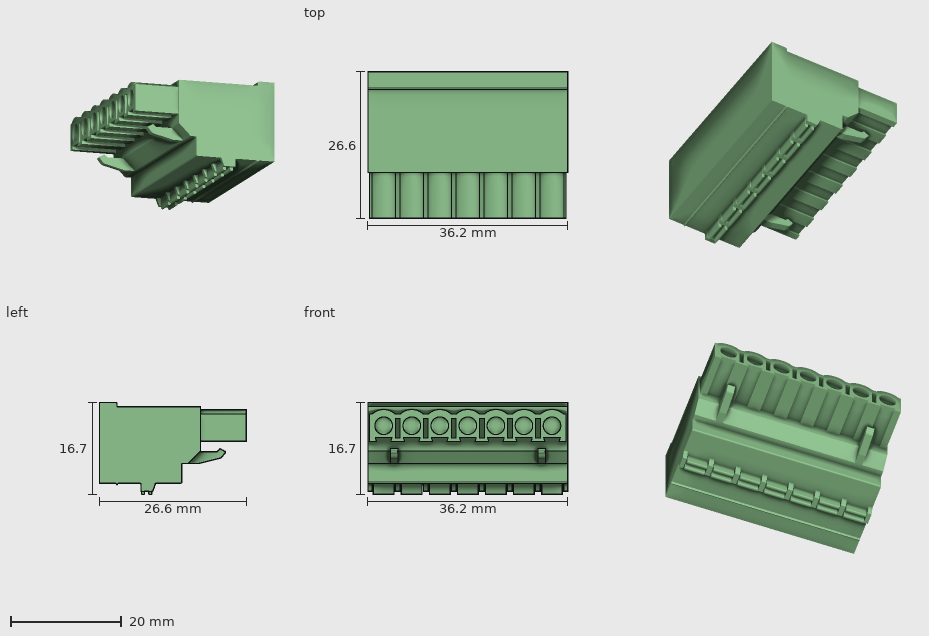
import cadquery as cq
import math

pole_count = 7
pole_span = 30.45
pitch = pole_span / (pole_count - 1)

width = 36.18
housing_depth = 18.3
ridge_depth = 3.22
ridge_radius = 0.33
shelf_z = -0.8
slope_top_z = -8.83
slope_bottom_z = -11.07
lower_depth = 14.95
bottom_z = -14.65
bottom_radius = 0.3
bead_y = -3.2
bead_height = 0.3
bead_half_width = 0.25

plug_width = 35.6
front_y = -26.6
shoulder_z = -2.15
plug_bottom_z = -7.05
pole_axis_z = -4.25
crown_radius = 3.15
crown_top_z = -1.3
bore_radius = 1.6
bore_depth = 1.1
slot_width = 0.87
slot_top_z = -2.95
slot_bottom_z = -6.45
groove_top_z = -6.4
groove_top_width = 3.0
groove_mouth_width = 2.6

latch_width = 1.37
latch_offset = 13.35
latch_top_z = -8.9
latch_hook_start_y = -21.3
latch_hook_peak = (-21.85, -8.4)
latch_nose = (-22.95, -8.97)
latch_nose_radius = 0.2
latch_heel_y = -18.05
latch_bend = (-22.0, -10.1)
latch_bend_radius = 0.72

key_width = 0.9
key_back_y = -7.53
key_front_y = -10.2
key_tip_y = -9.65
key_bottom_z = -16.15
key_root_radius = 0.2
key_tip_radius = 0.15
foot_width = 3.8
foot_bottom_z = -16.7
foot_thickness = 0.58
foot_back_y = -7.6
foot_front_y = -9.5
foot_radius = 0.25

pole_xs = [(i - (pole_count - 1) / 2) * pitch for i in range(pole_count)]
gap_xs = [(i - pole_count / 2) * pitch for i in range(pole_count + 1)]


def extrude_across(points, length, center_x=0.0):
    """Extrude a (Y, Z) outline along X, centred on center_x."""
    profile = cq.Workplane("YZ", origin=(center_x, 0, 0)).polyline(points).close()
    return profile.extrude(length / 2, both=True)


def box_between(center_x, size_x, y_range, z_range):
    """Box centred on center_x that fills the given Y and Z ranges."""
    (y0, y1), (z0, z1) = y_range, z_range
    return extrude_across([(y0, z0), (y1, z0), (y1, z1), (y0, z1)], size_x, center_x)


def edge_along_x(y, z):
    """Selector for an edge parallel to X that passes through (y, z)."""
    reach = 0.018
    return cq.selectors.BoxSelector((-width, y - reach, z - reach), (width, y + reach, z + reach))


def make_housing():
    """Stepped housing with a top ridge, a 45 degree underside slope and a bead below."""
    slope_bottom_y = -housing_depth + (slope_top_z - slope_bottom_z)
    outline = [
        (0, 0),
        (-ridge_depth, 0),
        (-ridge_depth, shelf_z),
        (-housing_depth, shelf_z),
        (-housing_depth, slope_top_z),
        (slope_bottom_y, slope_bottom_z),
        (-lower_depth, slope_bottom_z),
        (-lower_depth, bottom_z),
        (0, bottom_z),
    ]
    body = extrude_across(outline, width)
    body = body.edges(edge_along_x(-ridge_depth, 0)).fillet(ridge_radius)
    body = body.edges(edge_along_x(-lower_depth, bottom_z)).fillet(bottom_radius)
    bead = extrude_across(
        [
            (bead_y - bead_half_width, bottom_z),
            (bead_y, bottom_z - bead_height),
            (bead_y + bead_half_width, bottom_z),
        ],
        width,
    )
    return body.union(bead)


def make_plug():
    """Row of crowned poles with bores, slots between them and dovetail grooves below."""
    y_range = (front_y, -housing_depth)
    length = y_range[1] - y_range[0]
    front = cq.Workplane("XZ", origin=(0, front_y, 0))
    bores_at = [(x, pole_axis_z) for x in pole_xs]

    plug = box_between(0, plug_width, y_range, (plug_bottom_z, shoulder_z))
    crown_height = crown_top_z - shoulder_z
    half_chord = math.sqrt(crown_radius**2 - (crown_radius - crown_height) ** 2)
    for x in pole_xs:
        crown = (
            front.moveTo(x - half_chord, shoulder_z)
            .threePointArc((x, crown_top_z), (x + half_chord, shoulder_z))
            .close()
            .extrude(-length)
        )
        plug = plug.union(crown)
    plug = plug.cut(front.pushPoints(bores_at).circle(bore_radius).extrude(-bore_depth))

    for x in gap_xs[1:-1]:
        plug = plug.cut(box_between(x, slot_width, y_range, (slot_bottom_z, slot_top_z)))
    for x in pole_xs:
        groove = (
            front.moveTo(x - groove_top_width / 2, groove_top_z)
            .lineTo(x + groove_top_width / 2, groove_top_z)
            .lineTo(x + groove_mouth_width / 2, plug_bottom_z)
            .lineTo(x - groove_mouth_width / 2, plug_bottom_z)
            .close()
            .extrude(-length)
        )
        plug = plug.cut(groove)
    return plug


def make_latch(center_x):
    """Hooked arm that leaves the sloped underside of the housing."""
    outline = [
        (-lower_depth, slope_bottom_z),
        (latch_heel_y, slope_bottom_z),
        latch_bend,
        latch_nose,
        latch_hook_peak,
        (latch_hook_start_y, latch_top_z),
        (-housing_depth, latch_top_z),
    ]
    latch = extrude_across(outline, latch_width, center_x)
    latch = latch.edges(edge_along_x(*latch_nose)).fillet(latch_nose_radius)
    return latch.edges(edge_along_x(*latch_bend)).fillet(latch_bend_radius)


def make_key(center_x):
    """Key with a sloping front and a rounded tip."""
    outline = [
        (key_back_y, bottom_z),
        (key_back_y, key_bottom_z),
        (key_tip_y, key_bottom_z),
        (key_front_y, bottom_z),
    ]
    key = extrude_across(outline, key_width, center_x)
    return key.edges(edge_along_x(key_tip_y, key_bottom_z)).fillet(key_tip_radius)


def make_foot(center_x, y_range):
    """Plate below a pole with both lower edges rounded."""
    foot = box_between(center_x, foot_width, y_range, (foot_bottom_z, bottom_z))
    for y in y_range:
        foot = foot.edges(edge_along_x(y, foot_bottom_z)).fillet(foot_radius)
    return foot


result = make_housing().union(make_plug())

for side in (-1, 1):
    result = result.union(make_latch(side * latch_offset))

flush_limits = box_between(0, width, (front_y, 0), (foot_bottom_z, 0))
for x in gap_xs:
    result = result.union(make_key(x).intersect(flush_limits))

for y in (key_back_y, key_front_y):
    result = result.edges(edge_along_x(y, bottom_z)).fillet(key_root_radius)

for x in pole_xs:
    result = result.union(make_foot(x, (foot_back_y - foot_thickness, foot_back_y)))
    result = result.union(make_foot(x, (foot_front_y, foot_front_y + foot_thickness)))